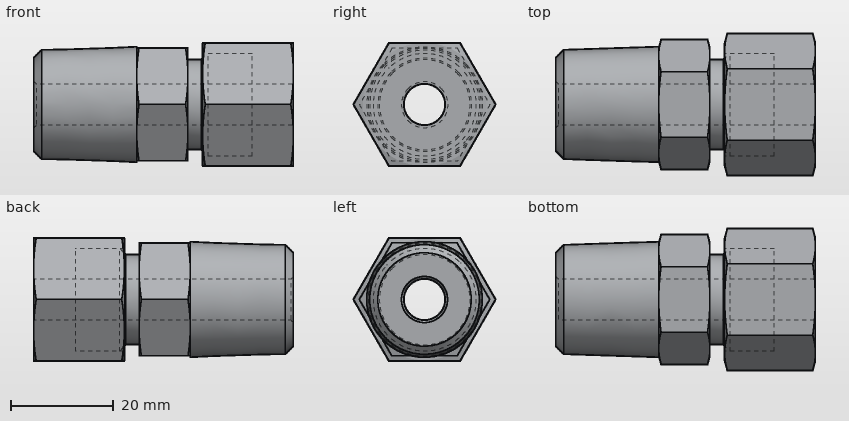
import cadquery as cq
import math


overall_length = 50.5
taper_end_x = 20.05
hex_end_x = 30.0
nut_start_x = 32.8
spigot_end_x = 42.4

bore_radius = 4.0
bore_chamfer = 0.5

stub_tip_radius = 10.65
stub_root_radius = 11.25
stub_tip_chamfer = 1.55

body_across_flats = 21.95
nut_across_flats = 24.0
hex_chamfer_angle = 15.0
nut_front_face_radius = 11.8

neck_radius = 8.8
spigot_radius = 10.0
exposed_flare = 0.2
neck_end_x = nut_start_x - exposed_flare
flare_length = spigot_radius - neck_radius


def revolve_about_x(points):
    """Solid of revolution from (x, radius) points."""
    return cq.Workplane("XY").polyline(points).close().revolve(360, (0, 0, 0), (1, 0, 0))


def chamfered_hexagon(start_x, end_x, across_flats, start_face_radius, end_face_radius):
    """Hexagonal prism along X, flats facing +Z and -Z, corners turned off at both ends."""
    corner_radius = across_flats / math.sqrt(3)
    slope = math.tan(math.radians(hex_chamfer_angle))
    start_depth = (corner_radius - start_face_radius) * slope
    end_depth = (corner_radius - end_face_radius) * slope
    prism = (
        cq.Workplane("YZ", origin=(start_x, 0, 0))
        .polygon(6, 2 * corner_radius)
        .extrude(end_x - start_x)
    )
    turned_envelope = revolve_about_x([
        (start_x, 0),
        (start_x, start_face_radius),
        (start_x + start_depth, corner_radius),
        (end_x - end_depth, corner_radius),
        (end_x, end_face_radius),
        (end_x, 0),
    ])
    return prism.intersect(turned_envelope)


def make_fitting():
    """Tapered stub, hexagon, neck and spigot with a through bore chamfered at the tip."""
    stub = revolve_about_x([
        (0, 0),
        (0, stub_tip_radius - stub_tip_chamfer),
        (stub_tip_chamfer, stub_tip_radius),
        (taper_end_x, stub_root_radius),
        (taper_end_x, 0),
    ])
    flat_radius = body_across_flats / 2
    hexagon = chamfered_hexagon(taper_end_x, hex_end_x, body_across_flats, flat_radius, flat_radius)
    spigot = revolve_about_x([
        (taper_end_x, 0),
        (taper_end_x, neck_radius),
        (neck_end_x, neck_radius),
        (neck_end_x + flare_length, spigot_radius),
        (spigot_end_x, spigot_radius),
        (spigot_end_x, 0),
    ])
    bore = revolve_about_x([
        (0, 0),
        (0, bore_radius + bore_chamfer),
        (bore_chamfer, bore_radius),
        (spigot_end_x, bore_radius),
        (spigot_end_x, 0),
    ])
    return stub.union(hexagon).union(spigot).cut(bore)


def make_nut():
    """Hexagonal nut with a recess for the spigot and a bore through its end wall."""
    hexagon = chamfered_hexagon(
        nut_start_x, overall_length, nut_across_flats, nut_front_face_radius, nut_across_flats / 2
    )
    cavity = revolve_about_x([
        (nut_start_x, 0),
        (nut_start_x, spigot_radius),
        (spigot_end_x, spigot_radius),
        (spigot_end_x, bore_radius),
        (overall_length, bore_radius),
        (overall_length, 0),
    ])
    return hexagon.cut(cavity)


fitting = make_fitting()
nut = make_nut()

result = cq.Compound.makeCompound([fitting.solids().val(), nut.solids().val()])